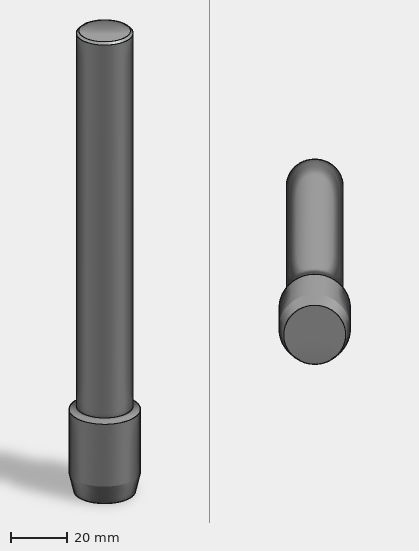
import cadquery as cq

total_length = 180.0
head_length = 33.1

shank_diameter = 20.2
shank_chamfer = 0.9

head_diameter = 25.4
shoulder_height = 1.3
taper_height = 7.4
taper_end_diameter = 22.0


def make_shank():
    """Straight round shank standing on the head, chamfered at its free end."""
    shank = (
        cq.Workplane("XY", origin=(0, 0, head_length))
        .circle(shank_diameter / 2)
        .extrude(total_length - head_length)
    )
    return shank.faces(">Z").chamfer(shank_chamfer)


def make_head():
    """Round head, tapered at the bottom, with a conical shoulder rising to the shank."""
    head_radius = head_diameter / 2
    profile = [
        (0, 0),
        (taper_end_diameter / 2, 0),
        (head_radius, taper_height),
        (head_radius, head_length - shoulder_height),
        (shank_diameter / 2, head_length),
        (0, head_length),
    ]
    return cq.Workplane("XZ").polyline(profile).close().revolve(360, (0, 0, 0), (0, 1, 0))


shank = make_shank()
head = make_head()

result = cq.Compound.makeCompound([shank.val(), head.val()])